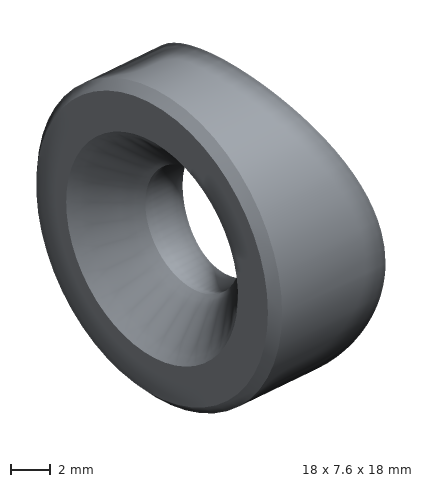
import cadquery as cq
import math

outer_diameter = 18.0
center_thickness = 5.0
tube_radius = 16.85
chamfer_size = 0.5
hole_diameter = 6.98
countersink_diameter = 12.6
countersink_angle = 90.0

outer_radius = outer_diameter / 2
saddle_rise = tube_radius - math.sqrt(tube_radius**2 - outer_radius**2)
full_depth = center_thickness + saddle_rise


def chamfered_body():
    """Round blank from the front face at Y = 0 towards +Y, chamfered on the front rim."""
    blank = cq.Workplane("XZ").circle(outer_radius).extrude(-full_depth)
    return blank.faces("<Y").chamfer(chamfer_size)


def tube():
    """Tube whose surface touches the saddle's lowest line."""
    return (
        cq.Workplane("XY")
        .center(0, center_thickness + tube_radius)
        .circle(tube_radius)
        .extrude(outer_diameter, both=True)
    )


result = (
    chamfered_body()
    .cut(tube())
    .faces("<Y")
    .workplane(origin=(0, 0, 0))
    .cskHole(hole_diameter, countersink_diameter, countersink_angle)
)